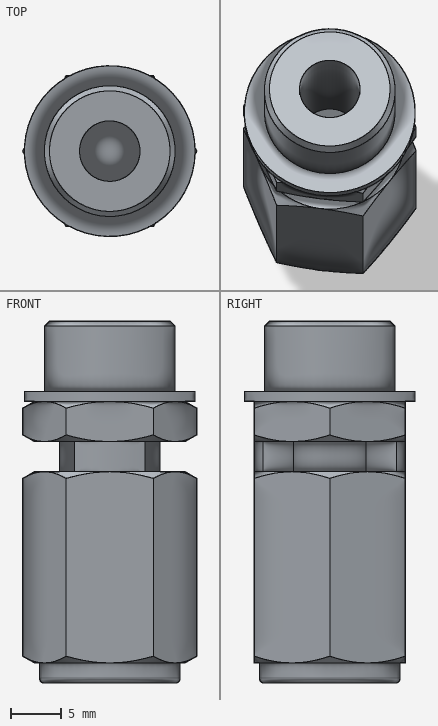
import cadquery as cq
import math

foot_height = 2.0
body_height = 19.0
neck_height = 3.0
nut_height = 4.0
washer_height = 1.0
total_height = 36.0

across_flats = 15.0
foot_diameter = 14.0
neck_diameter = 10.0
neck_tab_width = 7.0
washer_diameter = 17.0
spigot_diameter = 13.0
bore_diameter = 6.0

foot_fillet = 0.5
spigot_chamfer = 0.5
hex_chamfer_angle = math.radians(30)

body_bottom = foot_height
neck_bottom = body_bottom + body_height
nut_bottom = neck_bottom + neck_height
washer_bottom = nut_bottom + nut_height
spigot_bottom = washer_bottom + washer_height
spigot_height = total_height - spigot_bottom


def cylinder(diameter, bottom, height):
    return cq.Workplane("XY").workplane(offset=bottom).circle(diameter / 2).extrude(height)


def chamfered_hexagon(bottom, height):
    """Hexagonal prism with corners on X and conical chamfers at both ends."""
    across_corners = across_flats / math.cos(math.pi / 6)
    prism = cq.Workplane("XY").workplane(offset=bottom).polygon(6, across_corners).extrude(height)

    end_radius = across_flats / 2
    outer_radius = across_corners
    cone_drop = (outer_radius - end_radius) * math.tan(hex_chamfer_angle)
    top = bottom + height
    envelope = (
        cq.Workplane("XZ")
        .moveTo(0, bottom)
        .lineTo(end_radius, bottom)
        .lineTo(outer_radius, bottom + cone_drop)
        .lineTo(outer_radius, top - cone_drop)
        .lineTo(end_radius, top)
        .lineTo(0, top)
        .close()
        .revolve(360, (0, 0, 0), (0, 1, 0))
    )
    return prism.intersect(envelope)


def tabbed_neck():
    """Round neck with two opposite tabs reaching the hexagon's inscribed circle."""
    core = cylinder(neck_diameter, neck_bottom, neck_height)
    tab_strip = (
        cq.Workplane("XY")
        .workplane(offset=neck_bottom)
        .rect(neck_tab_width, 2 * across_flats)
        .extrude(neck_height)
    )
    tabs = cylinder(across_flats, neck_bottom, neck_height).intersect(tab_strip)
    return core.union(tabs)


foot = cylinder(foot_diameter, 0, foot_height).faces("<Z").edges().fillet(foot_fillet)
body = chamfered_hexagon(body_bottom, body_height)
nut = chamfered_hexagon(nut_bottom, nut_height)
washer = cylinder(washer_diameter, washer_bottom, washer_height)
spigot = cylinder(spigot_diameter, spigot_bottom, spigot_height)
spigot = spigot.faces(">Z").edges().chamfer(spigot_chamfer)

bore = cylinder(bore_diameter, neck_bottom, total_height - neck_bottom)

result = foot.union(body).union(tabbed_neck()).union(nut).union(washer).union(spigot).cut(bore)